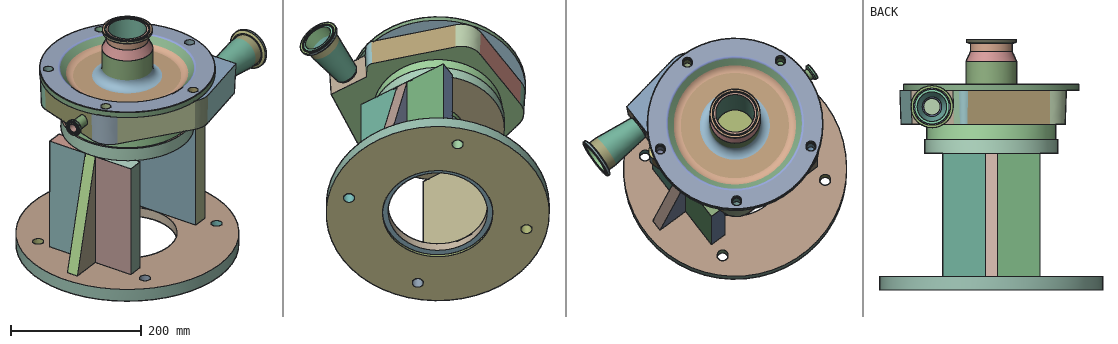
import cadquery as cq
import math

base_diameter = 343.0
base_radius = base_diameter / 2
base_thickness = 21.0
base_opening_radius = 76.2
base_recess_radius = 84.7
base_recess_depth = 5.0
anchor_circle_radius = 139.8
anchor_hole_radius = 8.5
anchor_count = 4
anchor_start_angle = 45

leg_width = 150.0
leg_outer_y = 102.5
leg_thickness = 25.8
leg_top_z = 210.2
rib_width = 18.5
rib_foot_y = 151.5

adapter_radius = leg_outer_y
adapter_top_z = 231.8
neck_radius = 99.5
shaft_radius = 39.3
shaft_length = 9.2

casing_bottom_z = 255.0
casing_top_z = 307.0
casing_sides = 5
casing_apothem = 115.5
casing_draft = 2.0
casing_corner_radius = 35.8
cutoff_corner_radius = 12.5
cutoff_corner_index = 1
outlet_corner_x = 123.5
outlet_face_y = casing_apothem
casing_height = casing_top_z - casing_bottom_z
port_axis_z = 282.0

cover_radius = 135.0
cover_top_z = 316.5
cover_edge_chamfer = 0.8
dish_floor_radius = 83.0
dish_depth = 15.0
dish_fillet = 15.5
dish_rim_radius = 106.3
dish_rim_round = 4.5
dish_wall_angle = math.radians(45)

bolt_count = casing_sides
bolt_circle_radius = 121.5
bolt_clearance_radius = 7.7
thread_radius = 6.0
thread_depth = 23.0
drill_point_angle = math.radians(59)

spout_radius = shaft_radius
spout_root_fillet = 14.5
spout_shoulder_z = 351.0
spout_tube_start_z = 366.5
spout_tube_radius = 32.5
spout_bore_radius = 29.5
spout_rim_radius = 38.5
spout_end_z = 385.0

discharge_x = 91.2
discharge_root_y = 111.5
overall_depth = 371.5
discharge_end_y = overall_depth - base_radius
discharge_taper_y = 179.8
discharge_root_radius = 18.5
discharge_root_chamfer = 2.5
discharge_tube_radius = 25.8
discharge_bore_radius = 22.7
discharge_root_bore_radius = 15.0
discharge_rim_radius = 32.5

drain_end_y = -150.0
drain_root_y = -96.2
drain_tube_radius = 9.0
drain_bore_radius = 6.5
drain_rim_radius = 12.7

ferrule_rim = 4.0
ferrule_bevel = 2.0
gasket_groove_width = 2.0
gasket_groove_depth = 1.0


def disc(radius, bottom_z, top_z):
    """Cylinder about the Z axis between two heights."""
    return cq.Workplane("XY").workplane(offset=bottom_z).circle(radius).extrude(top_z - bottom_z)


def polar(radius, angle):
    return (radius * math.cos(angle), radius * math.sin(angle))


def revolve_about_z(profile):
    return profile.close().revolve(360, (0, 0, 0), (0, 1, 0))


def ferrule(tube_radius, rim_radius, end):
    """Clamp collar along local Z, finishing at the given end height."""
    rim_start = end - ferrule_rim
    profile = (
        cq.Workplane("XZ")
        .moveTo(0, rim_start - ferrule_bevel)
        .lineTo(tube_radius + ferrule_bevel, rim_start - ferrule_bevel)
        .lineTo(rim_radius, rim_start)
        .lineTo(rim_radius, end)
        .lineTo(0, end)
    )
    return revolve_about_z(profile)


def gasket_groove(bore_radius, rim_radius, end):
    """Ring groove midway between the bore and the rim of a ferrule face."""
    inner = (bore_radius + rim_radius - gasket_groove_width) / 2
    return (
        cq.Workplane("XY")
        .workplane(offset=end - gasket_groove_depth)
        .circle(inner + gasket_groove_width)
        .circle(inner)
        .extrude(gasket_groove_depth)
    )


def make_base():
    """Round plate with anchor holes and a central opening widened on the underside."""
    base = disc(base_radius, 0, base_thickness)
    opening = disc(base_opening_radius, 0, base_thickness)
    recess = disc(base_recess_radius, 0, base_recess_depth)
    anchor_holes = (
        cq.Workplane("XY")
        .polarArray(anchor_circle_radius, anchor_start_angle, 360, anchor_count)
        .circle(anchor_hole_radius)
        .extrude(base_thickness)
    )
    return base.cut(opening).cut(recess).cut(anchor_holes)


def make_leg():
    """Upright plate on the +Y side, stiffened by a triangular rib."""
    plate = (
        cq.Workplane("XY")
        .workplane(offset=base_thickness)
        .center(0, leg_outer_y - leg_thickness / 2)
        .rect(leg_width, leg_thickness)
        .extrude(leg_top_z - base_thickness)
    )
    rib = (
        cq.Workplane("YZ")
        .moveTo(leg_outer_y, base_thickness)
        .lineTo(rib_foot_y, base_thickness)
        .lineTo(leg_outer_y, leg_top_z)
        .close()
        .extrude(rib_width / 2, both=True)
    )
    return plate.union(rib)


def make_round_body():
    shaft = disc(shaft_radius, leg_top_z - shaft_length, leg_top_z)
    adapter = disc(adapter_radius, leg_top_z, adapter_top_z)
    neck = disc(neck_radius, adapter_top_z, casing_bottom_z)
    return shaft.union(adapter).union(neck)


def make_casing():
    half_step = math.pi / casing_sides
    corner_reach = casing_apothem / math.cos(half_step)
    corners = [polar(corner_reach, 2 * half_step * i) for i in range(casing_sides)]

    block_root_x = (casing_apothem - outlet_face_y * math.sin(half_step)) / math.cos(half_step)
    outlet_corners = [(outlet_corner_x, outlet_face_y), (block_root_x, outlet_face_y)]
    outline = corners[:1] + outlet_corners + corners[1:]

    blank = cq.Workplane("XY").workplane(offset=casing_bottom_z).polyline(outline).close()
    blank = blank.extrude(casing_height)
    for index, (x, y) in enumerate(corners):
        radius = cutoff_corner_radius if index == cutoff_corner_index else casing_corner_radius
        middle_z = casing_bottom_z + casing_height / 2
        edge = cq.selectors.NearestToPointSelector((x, y, middle_z))
        blank = blank.edges("|Z").edges(edge).fillet(radius)

    top_outline = blank.faces(">Z").wires().toPending().workplane()
    return top_outline.extrude(-casing_height, taper=casing_draft, combine=False)


def make_dish():
    """Recess with a rounded rim, a conical wall and a filleted flat floor."""
    run, drop = math.sin(dish_wall_angle), 1 - math.cos(dish_wall_angle)
    half_run, half_drop = math.sin(dish_wall_angle / 2), 1 - math.cos(dish_wall_angle / 2)
    floor_z = cover_top_z - dish_depth
    profile = (
        cq.Workplane("XZ")
        .moveTo(0, floor_z)
        .lineTo(dish_floor_radius, floor_z)
        .threePointArc(
            (dish_floor_radius + dish_fillet * half_run, floor_z + dish_fillet * half_drop),
            (dish_floor_radius + dish_fillet * run, floor_z + dish_fillet * drop),
        )
        .lineTo(dish_rim_radius - dish_rim_round * run, cover_top_z - dish_rim_round * drop)
        .threePointArc(
            (dish_rim_radius - dish_rim_round * half_run, cover_top_z - dish_rim_round * half_drop),
            (dish_rim_radius, cover_top_z),
        )
        .lineTo(0, cover_top_z)
    )
    return revolve_about_z(profile)


def make_cover():
    cover = disc(cover_radius, casing_top_z, cover_top_z)
    return cover.faces(">Z").edges().chamfer(cover_edge_chamfer)


def make_bolt_hole():
    """Clearance hole through the cover above a blind drilled hole with a pointed end."""
    thread_end_z = casing_top_z - thread_depth
    point_z = thread_end_z - thread_radius / math.tan(drill_point_angle)
    profile = (
        cq.Workplane("XZ")
        .moveTo(0, point_z)
        .lineTo(thread_radius, thread_end_z)
        .lineTo(thread_radius, casing_top_z)
        .lineTo(bolt_clearance_radius, casing_top_z)
        .lineTo(bolt_clearance_radius, cover_top_z)
        .lineTo(0, cover_top_z)
    )
    return revolve_about_z(profile).translate((bolt_circle_radius, 0, 0))


def make_spout():
    """Spout rising from a filleted root on the dish floor to a narrower ferruled tube."""
    floor_z = cover_top_z - dish_depth
    root_offset = spout_root_fillet * (1 - math.sqrt(0.5))
    profile = (
        cq.Workplane("XZ")
        .moveTo(0, floor_z)
        .lineTo(spout_radius + spout_root_fillet, floor_z)
        .threePointArc(
            (spout_radius + root_offset, floor_z + root_offset),
            (spout_radius, floor_z + spout_root_fillet),
        )
        .lineTo(spout_radius, spout_shoulder_z)
        .lineTo(spout_tube_radius, spout_tube_start_z)
        .lineTo(spout_tube_radius, spout_end_z)
        .lineTo(0, spout_end_z)
    )
    spout = revolve_about_z(profile).union(ferrule(spout_tube_radius, spout_rim_radius, spout_end_z))
    return spout.cut(gasket_groove(spout_bore_radius, spout_rim_radius, spout_end_z))


def make_discharge():
    """Solid nozzle and its tapered bore, both placed along +Y, each narrowing at the casing wall."""
    def tapered_tube(root_radius, end_radius):
        inlet_radius = root_radius - discharge_root_chamfer
        profile = (
            cq.Workplane("XZ")
            .moveTo(0, discharge_root_y)
            .lineTo(inlet_radius, discharge_root_y)
            .lineTo(inlet_radius, outlet_face_y)
            .lineTo(root_radius, outlet_face_y + discharge_root_chamfer)
            .lineTo(end_radius, discharge_taper_y)
            .lineTo(end_radius, discharge_end_y)
            .lineTo(0, discharge_end_y)
        )
        return revolve_about_z(profile)

    def place(solid):
        return solid.rotate((0, 0, 0), (1, 0, 0), -90).translate((discharge_x, 0, port_axis_z))

    nozzle = tapered_tube(discharge_root_radius, discharge_tube_radius)
    nozzle = nozzle.union(ferrule(discharge_tube_radius, discharge_rim_radius, discharge_end_y))
    nozzle = nozzle.cut(gasket_groove(discharge_bore_radius, discharge_rim_radius, discharge_end_y))
    bore = tapered_tube(discharge_root_bore_radius, discharge_bore_radius)
    return place(nozzle), place(bore)


def make_drain():
    """Solid nozzle and its bore, both placed along -Y."""
    def place(solid):
        return solid.rotate((0, 0, 0), (1, 0, 0), 90).translate((0, 0, port_axis_z))

    nozzle = disc(drain_tube_radius, -drain_root_y, -drain_end_y)
    nozzle = nozzle.union(ferrule(drain_tube_radius, drain_rim_radius, -drain_end_y))
    nozzle = nozzle.cut(gasket_groove(drain_bore_radius, drain_rim_radius, -drain_end_y))
    bore = disc(drain_bore_radius, -drain_root_y, -drain_end_y)
    return place(nozzle), place(bore)


leg = make_leg()
discharge, discharge_bore = make_discharge()
drain, drain_bore = make_drain()

result = make_base().union(leg).union(leg.mirror("XZ"))
result = result.union(make_round_body())
result = result.union(make_casing()).union(make_cover()).cut(make_dish())
result = result.union(make_spout()).union(discharge).union(drain)

result = result.cut(disc(spout_bore_radius, port_axis_z, spout_end_z))
result = result.cut(discharge_bore).cut(drain_bore)
bolt_hole = make_bolt_hole()
for i in range(bolt_count):
    result = result.cut(bolt_hole.rotate((0, 0, 0), (0, 0, 1), i * 360 / bolt_count))